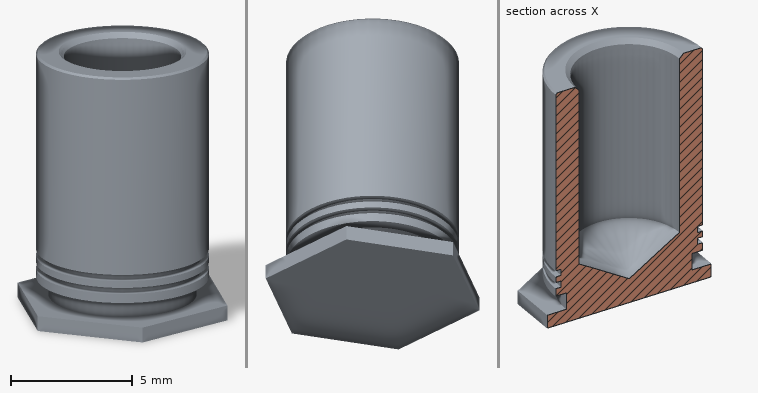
import cadquery as cq
import math

across_flats = 7.92
head_height = 0.64

total_height = 11.11
shank_diameter = 7.11
rim_chamfer = 0.08

neck_diameter = 6.1
neck_top = 1.4

groove_diameter = 6.6
groove_width = 0.27
groove_count = 2
lowest_groove_bottom = 1.78
groove_pitch = 0.56

bore_diameter = 4.83
mouth_diameter = 5.24
drill_point_angle = 118
bore_depth = 8.5


def cylinder(diameter, bottom, top):
    return cq.Workplane("XY").workplane(offset=bottom).circle(diameter / 2).extrude(top - bottom)


def make_head():
    across_corners = across_flats / math.cos(math.pi / 6)
    return cq.Workplane("XY").polygon(6, across_corners).extrude(head_height)


def make_shank():
    neck = cylinder(neck_diameter, head_height, neck_top)
    barrel = cylinder(shank_diameter, neck_top, total_height).faces(">Z").edges().chamfer(rim_chamfer)
    return neck.union(barrel)


def make_groove(bottom):
    top = bottom + groove_width
    return cylinder(shank_diameter, bottom, top).cut(cylinder(groove_diameter, bottom, top))


def make_bore():
    bore_radius = bore_diameter / 2
    mouth_radius = mouth_diameter / 2
    mouth_depth = mouth_radius - bore_radius
    bore_floor = total_height - bore_depth
    point_depth = bore_radius / math.tan(math.radians(drill_point_angle / 2))
    return (
        cq.Workplane("XZ")
        .moveTo(0, total_height)
        .lineTo(mouth_radius, total_height)
        .lineTo(bore_radius, total_height - mouth_depth)
        .lineTo(bore_radius, bore_floor)
        .lineTo(0, bore_floor - point_depth)
        .close()
        .revolve(360, (0, 0, 0), (0, 1, 0))
    )


result = make_head().union(make_shank())
for groove_index in range(groove_count):
    result = result.cut(make_groove(lowest_groove_bottom + groove_index * groove_pitch))
result = result.cut(make_bore())